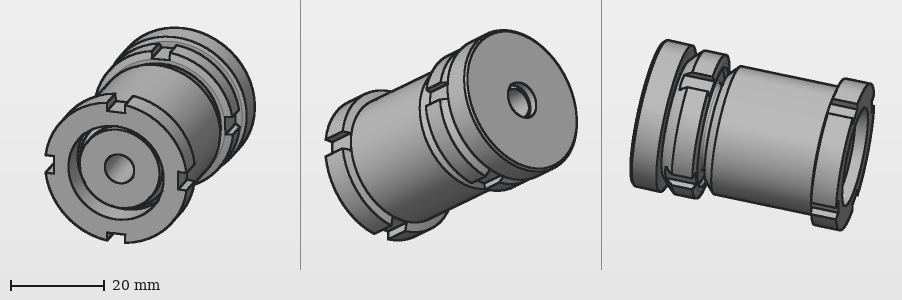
import cadquery as cq
import math


flange_radius = 16.0
slot_floor_radius = 14.0
slot_width = 4.0
slot_count = 4
thread_radius = 10.0
edge_slope = math.tan(math.radians(15))

sleeve_length = 30.0
sleeve_radius = slot_floor_radius
sleeve_chamfer = 2.0
flange_thickness = 6.0
counterbore_radius = 10.7
counterbore_depth = 6.0

shank_start = 2.35
shank_end_radius = 8.95
shank_end_chamfer = thread_radius - shank_end_radius
shank_point_length = 2.0
bolt_hole_radius = 3.3
thread_runout_angle = math.radians(30)
undercut_radius = 9.25
undercut_fillet = 0.85
undercut_fillet_start = 30.7
head_start = 31.32
head_radius = 15.65
head_corner = 36.3
head_recess_radius = 13.0
head_recess_depth = 0.8
head_recess_flare = math.radians(30)
head_turn = -2.2
dome_radius = 20.0
dome_center = head_corner - math.sqrt(dome_radius**2 - head_radius**2)

washer_radius = flange_radius
washer_start = 39.2
washer_thickness = 6.15
washer_hole_radius = 4.0
washer_top_chamfer = 0.5
washer_face_radius = 15.02
washer_tilt = 0.64
tilt_axis = (0.25, 0, -0.45)


def cut_rim_slots(body, start, end, turn):
    """Cut square-bottomed wrench slots into a rim, evenly spaced about Y."""
    slot_depth = 2 * (flange_radius - slot_floor_radius)
    slot = cq.Workplane("XY").box(slot_depth, end - start, slot_width, centered=(False, False, True))
    slot = slot.translate((slot_floor_radius, start, 0))
    for index in range(slot_count):
        angle = turn + index * 360 / slot_count
        body = body.cut(slot.rotate((0, 0, 0), (0, 1, 0), angle))
    return body.solids()


def make_sleeve():
    """Flanged sleeve with a threaded bore and a wider mouth."""
    flange_corner = flange_thickness - (flange_radius - sleeve_radius) * edge_slope
    profile = (
        cq.Workplane("XY")
        .moveTo(counterbore_radius, 0)
        .lineTo(flange_radius, 0)
        .lineTo(flange_radius, flange_corner)
        .lineTo(sleeve_radius, flange_thickness)
        .lineTo(sleeve_radius, sleeve_length - sleeve_chamfer)
        .lineTo(sleeve_radius - sleeve_chamfer, sleeve_length)
        .lineTo(thread_radius, sleeve_length)
        .lineTo(thread_radius, counterbore_depth)
        .lineTo(counterbore_radius, counterbore_depth)
        .close()
    )
    sleeve = profile.revolve(360, (0, 0, 0), (0, 1, 0))
    return cut_rim_slots(sleeve, 0, flange_thickness, 0)


def make_spindle():
    """Threaded shank, undercut neck and domed head with a hole through all of them."""
    cone_radius = undercut_radius + undercut_fillet * (1 - math.cos(thread_runout_angle))
    cone_start = undercut_fillet_start - undercut_fillet * math.sin(thread_runout_angle)
    cone_end = cone_start - (thread_radius - cone_radius) / math.tan(thread_runout_angle)
    half_runout = thread_runout_angle / 2
    runout_fillet_middle = (
        undercut_radius + undercut_fillet * (1 - math.cos(half_runout)),
        undercut_fillet_start - undercut_fillet * math.sin(half_runout),
    )
    chamfer_start = shank_start + shank_point_length
    recess_floor = head_start + head_recess_depth
    recess_floor_radius = head_recess_radius - head_recess_depth * math.tan(head_recess_flare)
    fillet_rise = undercut_fillet * (1 - math.sqrt(0.5))
    head_edge = (head_radius - slot_floor_radius) * edge_slope
    dome_top = dome_center + math.sqrt(dome_radius**2 - bolt_hole_radius**2)
    dome_middle_radius = (head_radius + bolt_hole_radius) / 2
    dome_middle = dome_center + math.sqrt(dome_radius**2 - dome_middle_radius**2)
    profile = (
        cq.Workplane("XY")
        .moveTo(bolt_hole_radius, shank_start)
        .lineTo(shank_end_radius, shank_start)
        .lineTo(shank_end_radius, chamfer_start)
        .lineTo(thread_radius, chamfer_start + shank_end_chamfer)
        .lineTo(thread_radius, cone_end)
        .lineTo(cone_radius, cone_start)
        .threePointArc(runout_fillet_middle, (undercut_radius, undercut_fillet_start))
        .lineTo(undercut_radius, recess_floor - undercut_fillet)
        .threePointArc(
            (undercut_radius + fillet_rise, recess_floor - fillet_rise),
            (undercut_radius + undercut_fillet, recess_floor),
        )
        .lineTo(recess_floor_radius, recess_floor)
        .lineTo(head_recess_radius, head_start)
        .lineTo(slot_floor_radius, head_start)
        .lineTo(head_radius, head_start + head_edge)
        .lineTo(head_radius, head_corner)
        .threePointArc((dome_middle_radius, dome_middle), (bolt_hole_radius, dome_top))
        .close()
    )
    spindle = profile.revolve(360, (0, 0, 0), (0, 1, 0))
    return cut_rim_slots(spindle, head_start, dome_top, head_turn)


def make_washer():
    """Washer with a spherical seat, tilted about the center of the dome."""
    washer_end = washer_start + washer_thickness
    bottom_edge = (washer_radius - washer_face_radius) * edge_slope
    profile = (
        cq.Workplane("XY")
        .moveTo(washer_hole_radius, washer_start)
        .lineTo(washer_face_radius, washer_start)
        .lineTo(washer_radius, washer_start + bottom_edge)
        .lineTo(washer_radius, washer_end - washer_top_chamfer)
        .lineTo(washer_radius - washer_top_chamfer, washer_end)
        .lineTo(washer_hole_radius, washer_end)
        .close()
    )
    washer = profile.revolve(360, (0, 0, 0), (0, 1, 0))
    pivot = cq.Vector(0, dome_center, 0)
    seat = cq.Workplane("XY").sphere(dome_radius).translate(pivot)
    washer = washer.cut(seat)
    return washer.rotate(pivot, pivot + cq.Vector(*tilt_axis), washer_tilt).solids()


sleeve = make_sleeve()
spindle = make_spindle()
washer = make_washer()

result = cq.Compound.makeCompound([sleeve.val(), spindle.val(), washer.val()])